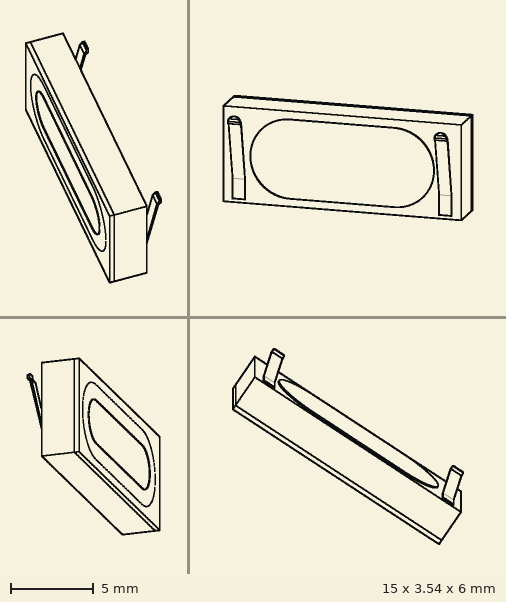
import cadquery as cq

length = 15.0
height = 6.0
block_depth = 2.4
cover_thickness = 0.3
mid_height = height / 2

lip_thickness = 0.05
core_length = 13.47
core_height = 4.8
pad_length = 11.58
pad_height = 4.98
pad_rise = 0.08

window_length = 11.34
window_height = 2.76

spring_width = 0.78
spring_pitch = 13.02
spring_thickness = 0.1
foot_bottom = 0.25
foot_top = 1.55
arm_rise = 0.85
bend_offset = 0.15
arm_top = 5.19
crest_rise = 1.14
crest_height = 5.55
crest_thickness = 0.14
tip_rise = 1.04
tip_height = 5.7
curl_end_inset = 0.06
curl_end_drop = 0.08


def box(depth, front):
    """Full-size block of the given depth, starting at Y = front."""
    return cq.Workplane("XY").box(length, depth, height, centered=(True, False, False)).translate((0, front, 0))


def obround(slot_length, slot_height, front, back):
    """Obround prism centred on the block, running from Y = front to Y = back."""
    return (
        cq.Workplane("XZ", origin=(0, front, mid_height))
        .slot2D(slot_length, slot_height)
        .extrude(front - back)
    )


def make_core():
    """Stepped obround core: a wide slab in the cover and a pad that runs through the housing."""
    body = obround(core_length, core_height, lip_thickness, cover_thickness)
    pad = obround(pad_length, pad_height, cover_thickness, block_depth + pad_rise)
    return body.union(pad)


def make_cover(core):
    """Cover plate with a window in its thin lip and a seat for the core."""
    window = obround(window_length, window_height, 0, lip_thickness)
    return box(cover_thickness, 0).cut(window).cut(core)


def make_housing(core):
    """Housing with a through hole that holds the core."""
    return box(block_depth - cover_thickness, cover_thickness).cut(core)


def make_spring(x_center):
    """Sheet-metal spring: flat foot, sloping arm and a curled tip with a rounded end."""
    left = x_center - spring_width / 2
    back = block_depth
    profile = (
        cq.Workplane("YZ", origin=(left, 0, 0))
        .moveTo(back, foot_bottom)
        .lineTo(back, foot_top - bend_offset)
        .lineTo(back + arm_rise, arm_top + bend_offset / 2)
        .threePointArc(
            (back + crest_rise - crest_thickness, crest_height),
            (back + tip_rise - curl_end_inset, tip_height - curl_end_drop),
        )
        .lineTo(back + tip_rise, tip_height)
        .threePointArc(
            (back + crest_rise, crest_height),
            (back + arm_rise + spring_thickness, arm_top),
        )
        .lineTo(back + spring_thickness, foot_top)
        .lineTo(back + spring_thickness, foot_bottom)
        .close()
        .extrude(spring_width)
    )
    shoulder = tip_height - spring_width / 2
    outline = (
        cq.Workplane("XZ", origin=(0, back, 0))
        .moveTo(left, 0)
        .lineTo(left, shoulder)
        .threePointArc((x_center, tip_height), (left + spring_width, shoulder))
        .lineTo(left + spring_width, 0)
        .close()
        .extrude(-crest_rise)
    )
    return profile.intersect(outline)


core = make_core()
cover = make_cover(core)
housing = make_housing(core)
springs = [make_spring(side * spring_pitch / 2) for side in (-1, 1)]

result = cq.Compound.makeCompound(
    [housing.val(), cover.val(), core.val(), *[spring.val() for spring in springs]]
)